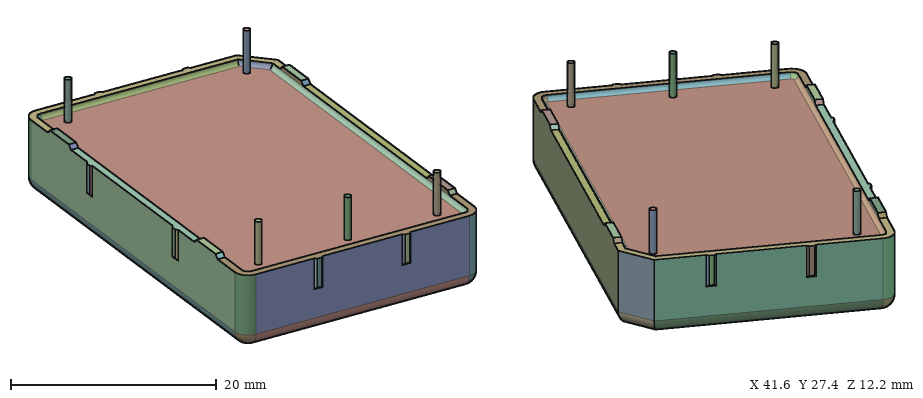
import cadquery as cq

OVERALL_LENGTH = 41.6
OVERALL_WIDTH = 27.4
RIB_PROTRUSION = 0.2
LENGTH = OVERALL_LENGTH - 2 * RIB_PROTRUSION
WIDTH = OVERALL_WIDTH - RIB_PROTRUSION
RIM_HEIGHT = 8.0
EDGE_RADIUS = 1.5
CORNER_CHAMFER = 2.9

RIM_WIDTH = 0.85
RECESS_DEPTH = 0.5
RECESS_FILLET = 0.45

TAB_HEIGHT = 0.4
TAB_TOP_LENGTH = 3.55
TAB_BASE_LENGTH = TAB_TOP_LENGTH + 2 * TAB_HEIGHT
TAB_SPACING = 27.45

RIB_BASE_WIDTH = 0.95
RIB_LENGTH = 3.35
FRONT_RIB_SPACING = 16.0
END_RIB_SPACING = 10.0

PIN_DIAMETER = 0.7
PIN_TOP = 12.15
PIN_SPACING_X = 35.65
PIN_SPACING_Y = 20.3

RECESS_FLOOR = RIM_HEIGHT - RECESS_DEPTH


def case_prism(inset, bottom, top):
    """Prism of the case outline moved inward: three round corners, one chamfered."""
    chamfer = CORNER_CHAMFER - (2 - 2**0.5) * inset
    return (
        cq.Workplane("XY", origin=(0, 0, bottom))
        .rect(LENGTH - 2 * inset, WIDTH - 2 * inset)
        .extrude(top - bottom)
        .edges("|Z and (>X or <Y)")
        .fillet(EDGE_RADIUS - inset)
        .edges("|Z and <X and >Y")
        .chamfer(chamfer)
    )


def make_case():
    body = case_prism(0, 0, RIM_HEIGHT).faces("<Z").edges().fillet(EDGE_RADIUS)
    recess = case_prism(RIM_WIDTH, RECESS_FLOOR, RIM_HEIGHT)
    return body.cut(recess.faces("<Z").edges().fillet(RECESS_FILLET))


def make_tab(x, y):
    """Trapezoidal tab as thick as the rim, centred at (x, y)."""
    half_base = TAB_BASE_LENGTH / 2
    half_top = TAB_TOP_LENGTH / 2
    return (
        cq.Workplane("XZ", origin=(x, y, RIM_HEIGHT))
        .polyline([(-half_base, 0), (half_base, 0), (half_top, TAB_HEIGHT), (-half_top, TAB_HEIGHT)])
        .close()
        .extrude(RIM_WIDTH / 2, both=True)
    )


def make_rib(offset, wall_distance, turn):
    """Rib on the -Y wall at X = offset, then turned about Z onto its own wall."""
    block = cq.Workplane("XY").box(
        RIB_BASE_WIDTH, 2 * RIB_PROTRUSION, RIB_LENGTH, centered=(True, True, False)
    )
    rib = block.faces("<Y").edges("|Z or <Z").chamfer(RIB_PROTRUSION)
    rib = rib.translate((offset, -wall_distance, RIM_HEIGHT - RIB_LENGTH))
    return rib.rotate((0, 0, 0), (0, 0, 1), turn)


result = make_case()

rim_centre_y = (WIDTH - RIM_WIDTH) / 2
for x in (-TAB_SPACING / 2, TAB_SPACING / 2):
    for y in (-rim_centre_y, rim_centre_y):
        result = result.union(make_tab(x, y))

for side in (-1, 1):
    result = result.union(make_rib(side * FRONT_RIB_SPACING / 2, WIDTH / 2, 0))
    for turn in (-90, 90):
        result = result.union(make_rib(side * END_RIB_SPACING / 2, LENGTH / 2, turn))

pin_x = PIN_SPACING_X / 2
pin_y = PIN_SPACING_Y / 2
pin_positions = [(-pin_x, -pin_y), (-pin_x, pin_y), (pin_x, -pin_y), (pin_x, 0), (pin_x, pin_y)]
pins = (
    cq.Workplane("XY", origin=(0, 0, RECESS_FLOOR))
    .pushPoints(pin_positions)
    .circle(PIN_DIAMETER / 2)
    .extrude(PIN_TOP - RECESS_FLOOR)
)
result = result.union(pins)